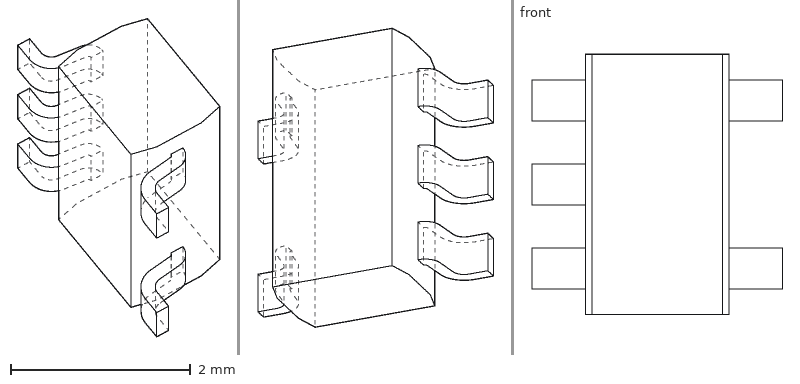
import cadquery as cq
import math


body_length = 2.9
body_width = 1.6
body_thickness = 1.19
body_standoff = 0.1
taper_height = body_thickness / 4
taper_angle = math.radians(14)
taper_inset = taper_height * math.tan(taper_angle)

lead_span = 2.79
lead_width = 0.46
lead_thickness = 0.16
lead_height = 0.745
lead_pitch = 0.935
lead_slant = math.radians(7)
shoulder_inner_radius = 0.035
shoulder_outer_radius = shoulder_inner_radius + lead_thickness
heel_inner_radius = 0.14
heel_outer_radius = heel_inner_radius + lead_thickness


def make_body():
    """Block with both long sides tapered towards the near and far faces."""
    half_width = body_width / 2
    half_face = half_width - taper_inset
    near = body_standoff
    far = body_standoff + body_thickness
    outline = [
        (-half_face, near),
        (half_face, near),
        (half_width, near + taper_height),
        (half_width, far - taper_height),
        (half_face, far),
        (-half_face, far),
        (-half_width, far - taper_height),
        (-half_width, near + taper_height),
    ]
    return (
        cq.Workplane("XY")
        .polyline(outline)
        .close()
        .extrude(body_length / 2, both=True)
    )


def point_on_arc(center, radius, angle):
    return (
        center[0] + radius * math.cos(angle),
        center[1] + radius * math.sin(angle),
    )


def make_lead(side, z_center):
    """One bent lead; side is +1 or -1 for the +X or -X side of the body."""
    face_x = body_width / 2
    tip_x = lead_span / 2

    shoulder = (face_x, lead_height - shoulder_outer_radius)
    drop = shoulder[1] - heel_outer_radius
    bend_gap = shoulder_outer_radius + heel_inner_radius
    run = (bend_gap + drop * math.sin(lead_slant)) / math.cos(lead_slant)
    heel = (face_x + run, heel_outer_radius)

    shoulder_end = lead_slant
    shoulder_mid = (math.pi / 2 + shoulder_end) / 2
    heel_start = math.pi + lead_slant
    heel_mid = (heel_start + 3 * math.pi / 2) / 2

    lead = (
        cq.Workplane("XY")
        .moveTo(face_x, lead_height)
        .threePointArc(
            point_on_arc(shoulder, shoulder_outer_radius, shoulder_mid),
            point_on_arc(shoulder, shoulder_outer_radius, shoulder_end),
        )
        .lineTo(*point_on_arc(heel, heel_inner_radius, heel_start))
        .threePointArc(
            point_on_arc(heel, heel_inner_radius, heel_mid),
            (heel[0], lead_thickness),
        )
        .lineTo(tip_x, lead_thickness)
        .lineTo(tip_x, 0)
        .lineTo(heel[0], 0)
        .threePointArc(
            point_on_arc(heel, heel_outer_radius, heel_mid),
            point_on_arc(heel, heel_outer_radius, heel_start),
        )
        .lineTo(*point_on_arc(shoulder, shoulder_inner_radius, shoulder_end))
        .threePointArc(
            point_on_arc(shoulder, shoulder_inner_radius, shoulder_mid),
            (face_x, lead_height - lead_thickness),
        )
        .close()
        .extrude(lead_width / 2, both=True)
    )
    if side < 0:
        lead = lead.mirror("YZ")
    return lead.translate((0, 0, z_center))


body = make_body()

lead_places = [(-1, row * lead_pitch) for row in (-1, 0, 1)]
lead_places += [(1, row * lead_pitch) for row in (-1, 1)]
leads = [make_lead(side, z_center) for side, z_center in lead_places]

result = cq.Compound.makeCompound([body.val(), *[lead.val() for lead in leads]])